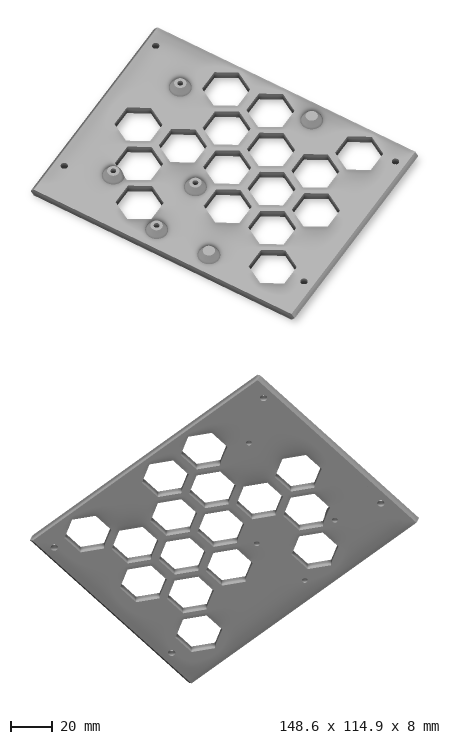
import cadquery as cq
import math

plate_length = 148.6
plate_width = 114.9
total_height = 8.0
plate_thickness = 4.5
edge_depth = 1.8

hex_across_flats = 20.0
hex_column_pitch = 25.0
hex_row_pitch = 20.0
hex_middle_row_y = 2.5
hex_columns_by_row = {
    2: (-1, 0, 2),
    1: (-0.5, 0.5, 1.5),
    0: (-2, -1, 0, 1, 2),
    -1: (-1.5, 0.5, 1.5),
    -2: (-1, 2),
}

mount_hole_diameter = 3.5
mount_hole_x = 67.5
mount_hole_rear_y = 47.4
mount_hole_front_y = -37.5

standoff_base_diameter = 11.0
standoff_top_diameter = 6.0
standoff_hole_diameter = 2.8
drilled_standoffs = [(-44.3, 32.0), (-44.3, -30.2), (-6.8, -15.8), (-9.4, -47.5)]
solid_standoffs = [(20.0, 47.8), (20.0, -47.5)]


def make_plate():
    """Flat plate whose two X ends come to a point at mid-thickness."""
    tip_x = plate_length / 2
    face_x = tip_x - edge_depth
    profile = [
        (-face_x, 0),
        (face_x, 0),
        (tip_x, plate_thickness / 2),
        (face_x, plate_thickness),
        (-face_x, plate_thickness),
        (-tip_x, plate_thickness / 2),
    ]
    return cq.Workplane("XZ").polyline(profile).close().extrude(plate_width / 2, both=True)


def make_standoff(x, y):
    """Truncated cone standing on the plate's upper face."""
    cone = cq.Solid.makeCone(
        standoff_base_diameter / 2,
        standoff_top_diameter / 2,
        total_height - plate_thickness,
        pnt=cq.Vector(x, y, plate_thickness),
    )
    return cq.Workplane(obj=cone)


def make_hex_openings():
    """Prisms for the honeycomb, tall enough to trim standoffs that overlap an opening."""
    centres = [
        (column * hex_column_pitch, hex_middle_row_y + row * hex_row_pitch)
        for row, columns in hex_columns_by_row.items()
        for column in columns
    ]
    corner_radius = hex_across_flats / 2 / math.cos(math.pi / 6)
    corner_angles = [math.radians(30 + 60 * corner) for corner in range(6)]
    corners = [(corner_radius * math.cos(angle), corner_radius * math.sin(angle)) for angle in corner_angles]
    hexagon = cq.Sketch().polygon(corners + corners[:1])
    return cq.Workplane("XY").pushPoints(centres).placeSketch(hexagon).extrude(total_height)


def make_pins(centres, diameter):
    """Cylinders through the full height, used to drill round holes."""
    return cq.Workplane("XY").pushPoints(centres).circle(diameter / 2).extrude(total_height)


mount_holes = [
    (x, y)
    for x in (-mount_hole_x, mount_hole_x)
    for y in (mount_hole_front_y, mount_hole_rear_y)
]

result = make_plate()
for standoff_x, standoff_y in drilled_standoffs + solid_standoffs:
    result = result.union(make_standoff(standoff_x, standoff_y))
result = result.cut(make_hex_openings())
result = result.cut(make_pins(mount_holes, mount_hole_diameter))
result = result.cut(make_pins(drilled_standoffs, standoff_hole_diameter))